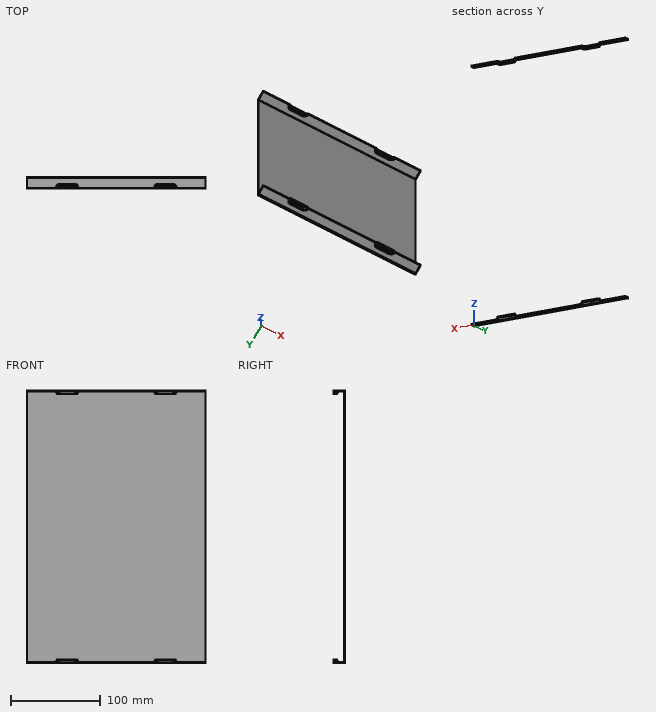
import cadquery as cq

panel_width = 200.0
panel_height = 304.5
flange_depth = 12.5
sheet = 1.0

dimple_spacing = 110.0
dimple_width = 23.0
dimple_reach = 4.0
dimple_depth = 3.0
wall_slope = 30.0

free_edge_y = -flange_depth / 2
top_z = panel_height / 2


def panel_envelope():
    """Box that holds the whole part."""
    return cq.Workplane("XY").box(panel_width, flange_depth, panel_height)


def folded_panel():
    """C-shaped sheet: a web at +Y with a flange toward -Y at the top and bottom."""
    hollow_height = panel_height - 2 * sheet
    hollow = cq.Workplane("XY").box(panel_width, flange_depth, hollow_height)
    return panel_envelope().cut(hollow.translate((0, -sheet, 0)))


def tapered_slot(x, z, growth):
    """Slot centred on the free edge that narrows downward from z over the dimple depth.

    Growth widens the slot outline by that much on every side.
    """
    length = dimple_width + 2 * growth
    diameter = 2 * (dimple_reach + growth)
    return (
        cq.Workplane("XY", origin=(x, free_edge_y, z))
        .slot2D(length, diameter)
        .extrude(-dimple_depth, taper=wall_slope)
    )


def dimple_shell(x):
    """Raised body under the flange that forms the dimple's skin, cut off at the free edge."""
    return tapered_slot(x, top_z - sheet, sheet).intersect(panel_envelope())


def dimple_hollow(x):
    """Space pressed into the flange, open at its outer face and at the free edge."""
    return tapered_slot(x, top_z, 0)


def add_dimples(panel, x):
    """Press a dimple into the top flange and its mirror image into the bottom flange."""
    shell = dimple_shell(x)
    hollow = dimple_hollow(x)
    panel = panel.union(shell).union(shell.mirror("XY"))
    return panel.cut(hollow).cut(hollow.mirror("XY"))


result = folded_panel()
for dimple_x in (-dimple_spacing / 2, dimple_spacing / 2):
    result = add_dimples(result, dimple_x)